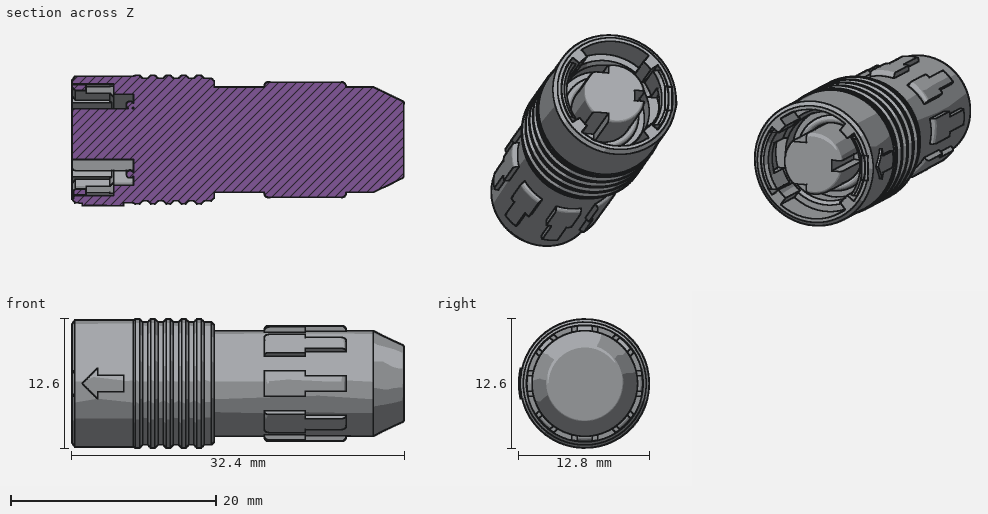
import cadquery as cq
import math


SLEEVE_RADIUS = 6.2
SLEEVE_LENGTH = 6.0
FRONT_CHAMFER_LENGTH = 0.3
FRONT_CHAMFER_DEPTH = 0.4

GRIP_RADIUS = 6.0
GRIP_END = 13.9
GRIP_CHAMFER = 0.3
RIB_COUNT = 5
RIB_PITCH = 1.5
RIB_HEIGHT = 0.3
RIB_TOP_WIDTH = 0.4
FIRST_RIB_X = 6.4
RIB_RADIUS = GRIP_RADIUS + RIB_HEIGHT

BARREL_RADIUS = 5.15
TAPER_START = 29.4
TOTAL_LENGTH = 32.4
TAIL_RADIUS = 3.7
TAIL_FILLET = 0.3

KEY_COUNT = 8
KEY_START = 18.75
KEY_SECTION_LENGTH = 4.0
KEY_WIDE_WIDTH = 2.5
KEY_NARROW_WIDTH = 1.5
KEY_HEIGHT = 0.5
KEY_RADIUS = BARREL_RADIUS + KEY_HEIGHT
KEY_FILLET = 0.45

ARROW_TIP_X = 1.0
ARROW_NECK_X = 2.5
ARROW_TAIL_X = 5.05
ARROW_HEAD_WIDTH = 3.0
ARROW_SHAFT_WIDTH = 1.65
ARROW_RADIUS = 6.45

SOCKET_RADIUS = 5.44
SOCKET_SHOULDER_X = 3.7
SEAT_RADIUS = 4.79
FLOOR_RADIUS = 4.43
SEAT_CONE_END = SOCKET_SHOULDER_X + SEAT_RADIUS - FLOOR_RADIUS
FLOOR_X = 6.0

GUIDE_COUNT = 4
GUIDE_INNER_RADIUS = 4.57
FIRST_GUIDE_ANGLE = 45
GUIDE_SPAN_ANGLE = 13.4

LATCH_WIDTH = 5.66
LATCH_MOUTH_RADIUS = 5.13
LATCH_CHAMFER_LENGTH = 0.35
LATCH_CLEARANCE = 0.06
WINDOW_WIDTH = 3.0
WINDOW_START = 1.4

NOTCH_WIDTH = 2.46
NOTCH_INNER_Y = 5.03
NOTCH_OUTER_Y = 5.72
NOTCH_DEPTH = 0.15

CORE_RADIUS = 3.05
CORE_FILLET = 0.34
SIDE_KEYWAY_WIDTH = 1.08
SIDE_KEYWAY_BOTTOM = 1.95
CORNER_KEYWAY_START = 0.67
CORNER_KEYWAY_BOTTOM = 2.1

SEAL_SECTION_RADIUS = 0.38
SEAL_EMBED = 0.05
SEAL_RADIUS = CORE_RADIUS + SEAL_SECTION_RADIUS - SEAL_EMBED

OVERLAP = 0.2


def box(x_range, y_range, z_range):
    """Box between the given limits along each axis."""
    size = [high - low for low, high in (x_range, y_range, z_range)]
    corner = (x_range[0], y_range[0], z_range[0])
    return cq.Workplane("XY").box(*size, centered=False).translate(corner)


def tube(start, end, outer_radius, inner_radius=0.0):
    """Cylinder or tube along X."""
    plane = cq.Workplane("YZ", origin=(start, 0, 0)).circle(outer_radius)
    if inner_radius:
        plane = plane.circle(inner_radius)
    return plane.extrude(end - start)


def cone(start, end, start_radius, end_radius):
    """Cone frustum along X."""
    solid = cq.Solid.makeCone(
        start_radius, end_radius, end - start, cq.Vector(start, 0, 0), cq.Vector(1, 0, 0)
    )
    return cq.Workplane(obj=solid)


def about_axis(shape, angle):
    """Copy of a shape turned about the X axis."""
    return shape.rotate((0, 0, 0), (1, 0, 0), angle)


def make_body():
    """Solid of revolution: sleeve, ribbed grip, barrel and tail."""
    profile = [
        (0, 0),
        (0, SLEEVE_RADIUS - FRONT_CHAMFER_DEPTH),
        (FRONT_CHAMFER_LENGTH, SLEEVE_RADIUS),
        (SLEEVE_LENGTH, SLEEVE_RADIUS),
    ]
    half_top = RIB_TOP_WIDTH / 2
    half_base = half_top + RIB_HEIGHT
    for index in range(RIB_COUNT):
        centre = FIRST_RIB_X + index * RIB_PITCH
        if index > 0:
            profile.append((centre - half_base, GRIP_RADIUS))
        profile.append((centre - half_top, RIB_RADIUS))
        profile.append((centre + half_top, RIB_RADIUS))
        profile.append((centre + half_base, GRIP_RADIUS))
    profile += [
        (GRIP_END - GRIP_CHAMFER, GRIP_RADIUS),
        (GRIP_END, GRIP_RADIUS - GRIP_CHAMFER),
        (GRIP_END, BARREL_RADIUS),
        (TAPER_START, BARREL_RADIUS),
        (TOTAL_LENGTH, TAIL_RADIUS),
        (TOTAL_LENGTH, 0),
    ]
    body = cq.Workplane("XY").polyline(profile).close().revolve(360, (0, 0, 0), (1, 0, 0))
    return body.faces(">X").edges().fillet(TAIL_FILLET)


def make_barrel_key():
    """One key on the +Z side: a wide front half and a narrow rear half."""
    middle = KEY_START + KEY_SECTION_LENGTH
    end = middle + KEY_SECTION_LENGTH
    height = (0, KEY_RADIUS + OVERLAP)
    wide = box((KEY_START, middle), (-KEY_WIDE_WIDTH / 2, KEY_WIDE_WIDTH / 2), height)
    narrow = box((middle, end), (-KEY_NARROW_WIDTH / 2, KEY_NARROW_WIDTH / 2), height)
    ring = tube(KEY_START, end, KEY_RADIUS, BARREL_RADIUS - OVERLAP)
    ring = ring.edges("%CIRCLE").edges(cq.selectors.RadiusNthSelector(-1)).fillet(KEY_FILLET)
    return ring.intersect(wide.union(narrow))


def make_arrow():
    """Raised arrow whose face is concentric with the sleeve."""
    half_head = ARROW_HEAD_WIDTH / 2
    half_shaft = ARROW_SHAFT_WIDTH / 2
    outline = [
        (ARROW_TIP_X, 0),
        (ARROW_NECK_X, half_head),
        (ARROW_NECK_X, half_shaft),
        (ARROW_TAIL_X, half_shaft),
        (ARROW_TAIL_X, -half_shaft),
        (ARROW_NECK_X, -half_shaft),
        (ARROW_NECK_X, -half_head),
    ]
    prism = cq.Workplane("XZ").polyline(outline).close().extrude(ARROW_RADIUS + OVERLAP)
    shell = tube(0, SLEEVE_LENGTH, ARROW_RADIUS, SLEEVE_RADIUS - OVERLAP)
    return shell.intersect(prism)


def make_socket():
    """Empty space of the socket, without the parts standing in it."""
    socket = tube(0, SOCKET_SHOULDER_X, SOCKET_RADIUS)
    socket = socket.union(cone(SOCKET_SHOULDER_X, SEAT_CONE_END, SEAT_RADIUS, FLOOR_RADIUS))
    return socket.union(tube(SEAT_CONE_END, FLOOR_X, FLOOR_RADIUS))


def make_guide():
    """Guide rib centred on +Y, with radial side faces."""
    reach = SOCKET_RADIUS + 2 * OVERLAP
    side = reach * math.tan(math.radians(GUIDE_SPAN_ANGLE / 2))
    wedge = (
        cq.Workplane("YZ")
        .polyline([(0, 0), (reach, side), (reach, -side)])
        .close()
        .extrude(FLOOR_X)
    )
    wall = tube(0, SOCKET_SHOULDER_X + OVERLAP, SOCKET_RADIUS + OVERLAP, GUIDE_INNER_RADIUS)
    return wall.intersect(wedge)


def make_latch():
    """Latch plate on the +Y side, chamfered at its mouth and just clear of the sleeve wall."""
    plate = tube(0, SOCKET_SHOULDER_X + OVERLAP, SOCKET_RADIUS - LATCH_CLEARANCE, SEAT_RADIUS)
    plate = plate.cut(cone(0, LATCH_CHAMFER_LENGTH, LATCH_MOUTH_RADIUS, SEAT_RADIUS))
    half_width = LATCH_WIDTH / 2
    return plate.intersect(box((0, FLOOR_X), (0, SLEEVE_RADIUS), (-half_width, half_width)))


def make_window():
    """Empty space of the window through the +Y latch plate and the lip behind it."""
    half_width = WINDOW_WIDTH / 2
    reach = tube(WINDOW_START, SEAT_CONE_END, SOCKET_RADIUS)
    return reach.intersect(
        box((0, FLOOR_X), (CORE_RADIUS, SLEEVE_RADIUS), (-half_width, half_width))
    )


def make_core():
    """Contact core with one keyway on -Y and two near +Y."""
    core = tube(0, FLOOR_X + OVERLAP, CORE_RADIUS).faces("<X").edges().fillet(CORE_FILLET)
    half_width = SIDE_KEYWAY_WIDTH / 2
    core = core.cut(
        box((0, FLOOR_X), (-CORE_RADIUS, -SIDE_KEYWAY_BOTTOM), (-half_width, half_width))
    )
    corner_y = (CORNER_KEYWAY_START, CORE_RADIUS)
    core = core.cut(box((0, FLOOR_X), corner_y, (CORNER_KEYWAY_BOTTOM, CORE_RADIUS)))
    return core.cut(box((0, FLOOR_X), corner_y, (-CORE_RADIUS, -CORNER_KEYWAY_BOTTOM)))


def make_seal():
    """Round-section ring resting on the socket floor."""
    centre_x = FLOOR_X - SEAL_SECTION_RADIUS + SEAL_EMBED
    section = cq.Workplane("XY").center(centre_x, SEAL_RADIUS).circle(SEAL_SECTION_RADIUS)
    return section.revolve(360, (0, -SEAL_RADIUS, 0), (1, -SEAL_RADIUS, 0))


def make_notch():
    """Empty space of the polarising notch."""
    half_width = NOTCH_WIDTH / 2
    return box((0, NOTCH_DEPTH), (-NOTCH_OUTER_Y, -NOTCH_INNER_Y), (-half_width, half_width))


result = make_body().union(make_arrow())

barrel_key = make_barrel_key()
for key_index in range(KEY_COUNT):
    result = result.union(about_axis(barrel_key, key_index * 360 / KEY_COUNT))

result = result.cut(make_socket())

guide = make_guide()
for guide_index in range(GUIDE_COUNT):
    result = result.union(about_axis(guide, FIRST_GUIDE_ANGLE + guide_index * 360 / GUIDE_COUNT))

latch = make_latch()
result = result.union(latch).union(latch.mirror("XZ"))
window = make_window()
result = result.cut(window).cut(window.mirror("XZ"))
result = result.cut(make_notch())
result = result.union(make_core()).union(make_seal())